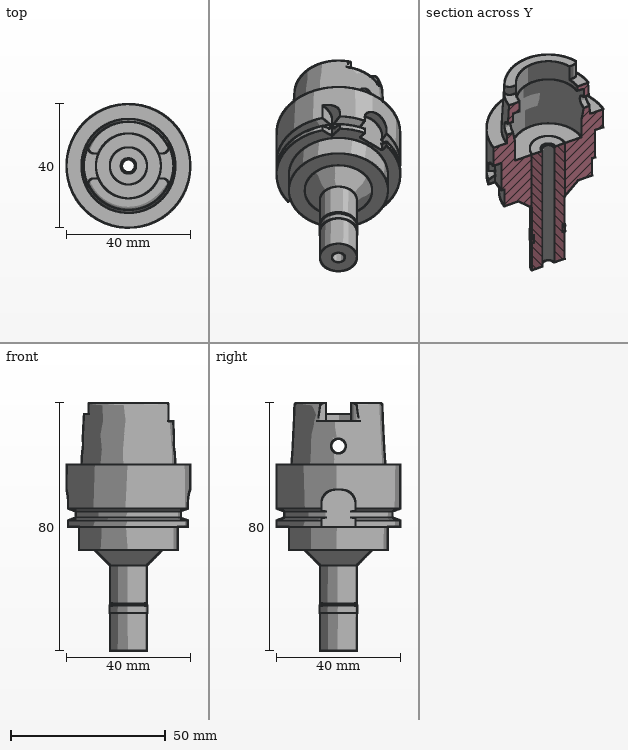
import cadquery as cq
import math


TOTAL_HEIGHT = 80
FLANGE_TOP = 60.2
FLANGE_BOTTOM = 40
COLLAR_BOTTOM = 32.5

ARBOR_RADIUS = 6.0
COOLANT_RADIUS = 2.1
COOLANT_CHAMFER = 0.4

RING_BOTTOM = 12.2
RING_HEIGHT = 2.4
RING_RADIUS = 6.2
RING_GROOVE_HEIGHT = 3.1
RING_GROOVE_RADIUS = 5.3

NECK_CONE_HEIGHT = 4.9
COLLAR_RADIUS = 16
FLANGE_RADIUS = 20
GRIP_GROOVE_RADIUS = 17.5
GRIP_GROOVE_MIDDLE = 44
GRIP_GROOVE_FLOOR_WIDTH = 2.0
GRIP_GROOVE_MOUTH_WIDTH = 3.8
TAPER_BASE_RADIUS = 15.2
TAPER_SLOPE = 0.05
TAPER_RIM_FILLET = 1.0

MOUTH_RADIUS = 10.5
MOUTH_BOTTOM = 72
CHAMBER_RADIUS = 12.8
CHAMBER_BOTTOM = 64
WELL_RADIUS = 12
WELL_TOP = 59.2
HOLLOW_FLOOR = 51.2

CROSS_HOLE_RADIUS = 2.3
CROSS_HOLE_Z = 66.1

RIM_SLOT_WIDTH = 8
SHALLOW_SLOT_DEPTH = 3.5
SHALLOW_SLOT_FILLET = 1.8
DEEP_SLOT_DEPTH = 5.8
DEEP_SLOT_FILLET = 2.0

KEYWAY_TOP = 52
KEYWAY_FLOOR_X = 17.0
NARROW_KEYWAY_WIDTH = 9.0
WIDE_KEYWAY_WIDTH = 11.0
KEYWAY_CORNER_RADIUS = NARROW_KEYWAY_WIDTH / 2
NOTCH_WIDTH = 8
NOTCH_FLOOR_X = 12
NOTCH_Y = math.sqrt(FLANGE_RADIUS**2 - NOTCH_FLOOR_X**2)


def revolved(outline):
    """Turn a closed (radius, height) outline about the Z axis."""
    return cq.Workplane("XZ").polyline(outline).close().revolve(360, (0, 0, 0), (0, 1, 0))


def taper_radius(z):
    """Outer radius of the taper at height z."""
    return TAPER_BASE_RADIUS - TAPER_SLOPE * (z - FLANGE_TOP)


def holder_outside():
    neck_bottom = COLLAR_BOTTOM - NECK_CONE_HEIGHT
    neck_top_radius = ARBOR_RADIUS + NECK_CONE_HEIGHT
    floor_half = GRIP_GROOVE_FLOOR_WIDTH / 2
    mouth_half = GRIP_GROOVE_MOUTH_WIDTH / 2
    outline = [
        (0, neck_bottom),
        (ARBOR_RADIUS, neck_bottom),
        (neck_top_radius, COLLAR_BOTTOM),
        (COLLAR_RADIUS, COLLAR_BOTTOM),
        (COLLAR_RADIUS, FLANGE_BOTTOM),
        (FLANGE_RADIUS, FLANGE_BOTTOM),
        (FLANGE_RADIUS, GRIP_GROOVE_MIDDLE - mouth_half),
        (GRIP_GROOVE_RADIUS, GRIP_GROOVE_MIDDLE - floor_half),
        (GRIP_GROOVE_RADIUS, GRIP_GROOVE_MIDDLE + floor_half),
        (FLANGE_RADIUS, GRIP_GROOVE_MIDDLE + mouth_half),
        (FLANGE_RADIUS, FLANGE_TOP),
        (TAPER_BASE_RADIUS, FLANGE_TOP),
        (taper_radius(TOTAL_HEIGHT), TOTAL_HEIGHT),
        (0, TOTAL_HEIGHT),
    ]
    return revolved(outline).faces(">Z").edges().fillet(TAPER_RIM_FILLET)


def holder_hollow():
    """Hollow of the taper, and below it the bore that takes the arbor."""
    outline = [
        (0, 0),
        (ARBOR_RADIUS, 0),
        (ARBOR_RADIUS, HOLLOW_FLOOR),
        (WELL_RADIUS, HOLLOW_FLOOR),
        (WELL_RADIUS, WELL_TOP),
        (CHAMBER_RADIUS, CHAMBER_BOTTOM),
        (CHAMBER_RADIUS, MOUTH_BOTTOM),
        (MOUTH_RADIUS, MOUTH_BOTTOM),
        (MOUTH_RADIUS, TOTAL_HEIGHT),
        (0, TOTAL_HEIGHT),
    ]
    return revolved(outline)


def cross_hole():
    return (
        cq.Workplane("YZ", origin=(-FLANGE_RADIUS, 0, CROSS_HOLE_Z))
        .circle(CROSS_HOLE_RADIUS)
        .extrude(2 * FLANGE_RADIUS)
    )


def rim_slot(side, depth, corner_radius):
    """Cutter for a rim slot at -X (side = -1) or +X (side = 1) that rounds the slot's outer corners."""
    floor_z = TOTAL_HEIGHT - depth
    slot_floor = cq.Workplane("XY", origin=(0, 0, floor_z))
    beside_axis = slot_floor.center(side * FLANGE_RADIUS / 2, 0)
    straight_slot = beside_axis.rect(FLANGE_RADIUS, RIM_SLOT_WIDTH).extrude(depth)
    outer_corners = cq.selectors.BoxSelector(
        (side * MOUTH_RADIUS, -RIM_SLOT_WIDTH, floor_z),
        (side * FLANGE_RADIUS, RIM_SLOT_WIDTH, TOTAL_HEIGHT),
    )
    kept_rim = slot_floor.circle(taper_radius(floor_z)).extrude(depth).cut(straight_slot)
    kept_rim = kept_rim.edges("|Z").edges(outer_corners).fillet(corner_radius)
    half_block = beside_axis.rect(FLANGE_RADIUS, 2 * FLANGE_RADIUS).extrude(depth)
    return half_block.cut(kept_rim)


def round_keyway(floor_x, width, middle_y):
    """Round-topped slot milled along X into the -X side of the flange, open at the flange bottom."""
    radius = width / 2
    shoulder = KEYWAY_TOP - radius
    return (
        cq.Workplane("YZ", origin=(-floor_x, 0, 0))
        .moveTo(middle_y - radius, FLANGE_BOTTOM)
        .lineTo(middle_y - radius, shoulder)
        .threePointArc((middle_y, KEYWAY_TOP), (middle_y + radius, shoulder))
        .lineTo(middle_y + radius, FLANGE_BOTTOM)
        .close()
        .extrude(-FLANGE_RADIUS)
    )


def wide_keyway():
    """Flat-topped slot with rounded upper corners in the +X side of the flange."""
    return (
        cq.Workplane("XY", origin=(KEYWAY_FLOOR_X, 0, FLANGE_BOTTOM))
        .box(FLANGE_RADIUS, WIDE_KEYWAY_WIDTH, KEYWAY_TOP - FLANGE_BOTTOM, centered=(False, True, False))
        .edges("|X and >Z")
        .fillet(KEYWAY_CORNER_RADIUS)
    )


def make_holder():
    return (
        holder_outside()
        .cut(holder_hollow())
        .cut(cross_hole())
        .cut(rim_slot(-1, SHALLOW_SLOT_DEPTH, SHALLOW_SLOT_FILLET))
        .cut(rim_slot(1, DEEP_SLOT_DEPTH, DEEP_SLOT_FILLET))
        .cut(round_keyway(KEYWAY_FLOOR_X, NARROW_KEYWAY_WIDTH, 0))
        .cut(round_keyway(NOTCH_FLOOR_X, NOTCH_WIDTH, NOTCH_Y))
        .cut(wide_keyway())
    )


def make_arbor():
    """Arbor whose upper end lies flush with the floor of the holder's hollow."""
    ring_groove_top = RING_BOTTOM + RING_GROOVE_HEIGHT
    outline = [
        (COOLANT_RADIUS, 0),
        (ARBOR_RADIUS, 0),
        (ARBOR_RADIUS, RING_BOTTOM),
        (RING_GROOVE_RADIUS, RING_BOTTOM),
        (RING_GROOVE_RADIUS, ring_groove_top),
        (ARBOR_RADIUS, ring_groove_top),
        (ARBOR_RADIUS, HOLLOW_FLOOR),
        (COOLANT_RADIUS + COOLANT_CHAMFER, HOLLOW_FLOOR),
        (COOLANT_RADIUS, HOLLOW_FLOOR - COOLANT_CHAMFER),
    ]
    return revolved(outline)


def make_ring():
    """Ring seated on the lower wall of the arbor's groove."""
    return (
        cq.Workplane("XY", origin=(0, 0, RING_BOTTOM))
        .circle(RING_RADIUS)
        .circle(RING_GROOVE_RADIUS)
        .extrude(RING_HEIGHT)
    )


holder = make_holder()
arbor = make_arbor()
ring = make_ring()

result = cq.Compound.makeCompound([holder.val(), arbor.val(), ring.val()])